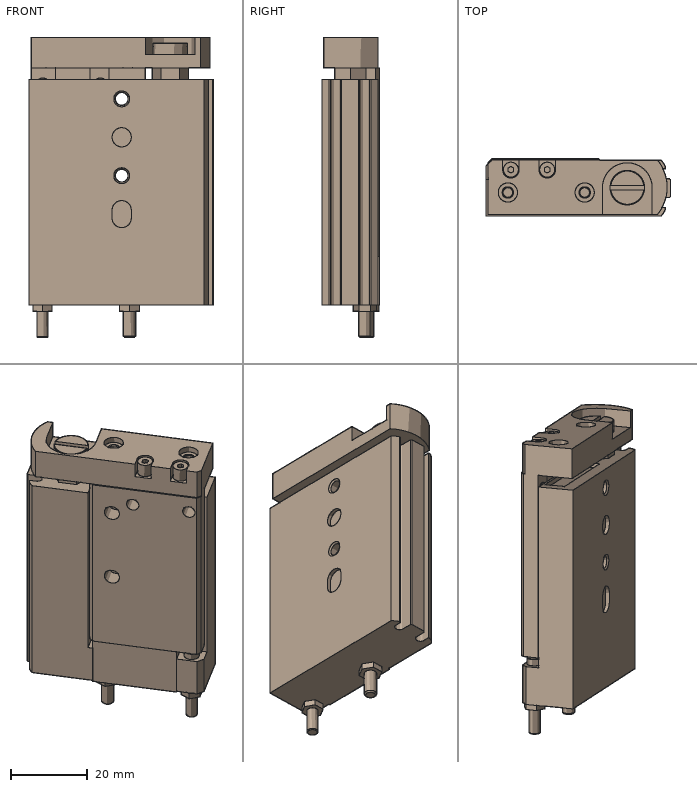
import cadquery as cq
import math

TOTAL_LENGTH = 78.0
TOTAL_DEPTH = 15.0
OVERALL_WIDTH = 48.0

HOUSING_BOTTOM = 8.4
HOUSING_TOP = 67.1
HOUSING_BACK = 14.6
TABLE_SEAT_Y = 9.6
TABLE_SEAT_RIGHT = 30.6
SIDE_EDGE_X = 46.65
LIP_START_X = 45.5
LIP_SLOPE_DEPTH = 1.8
LIP_DEPTH = 2.3
LIP_BULGE = 0.15
SENSOR_GROOVE_X = 44.9
TOP_RECESS_LEFT, TOP_RECESS_RIGHT = 3.0, 28.4
TOP_RECESS_FRONT, TOP_RECESS_BACK = 3.4, 8.9
TOP_RECESS_DEPTH = 1.2
SIDE_RAIL_WIDTH = 5.0
SIDE_RAIL_CHAMFER = 0.3

FOOT_TOP = 18.6
FOOT_STEP_X = 6.95
FOOT_CHAMFER = 1.5

HOLE_X = 24.1
HOLE_PITCH = 10.0
TOP_HOLE_Z = 62.0
THROUGH_HOLE_ZS = (TOP_HOLE_Z, TOP_HOLE_Z - 2 * HOLE_PITCH)
LOCATING_HOLE_Z = TOP_HOLE_Z - HOLE_PITCH
LOCATING_SLOT_Z = TOP_HOLE_Z - 3 * HOLE_PITCH
HOLE_DIAMETER = 3.3
HOLE_MOUTH_DIAMETER = 4.1
LOCATING_WIDTH = 5.0
LOCATING_SLOT_LENGTH = 7.0
LOCATING_DEPTH = 1.0

NUT_BOTTOM = 6.8
LEFT_PIN_X, LEFT_PIN_Y = 3.5, 12.0
LEFT_PIN_DIAMETER = 3.0
LEFT_PIN_TIP = 0.2
LEFT_NUT_FLATS = 5.0
RIGHT_PIN_X, RIGHT_PIN_Y = 26.1, 11.15
RIGHT_PIN_DIAMETER = 3.3
RIGHT_PIN_TIP = 0.4
RIGHT_NUT_FLATS = 5.3
STOPPER_DIAMETER = 4.0
STOPPER_TOP = 20.2

TABLE_LEFT = 0.55
TABLE_RIGHT = 30.3
TABLE_FRONT = 9.9
TABLE_BOTTOM = 21.05
TABLE_CHAMFER = 1.0
PAD_EDGES = (6.95, 15.8, 20.8)
PAD_HEIGHT = 0.5
TABLE_HOLE_XS = (3.6, 18.6)
TABLE_HOLE_Z = 65.45
TABLE_HOLE_MOUTH = 4.0

PLATE_BOTTOM = 70.05
PLATE_FRONT = 0.5
PLATE_RIGHT = 47.1
PLATE_ARC_START = 44.6
PLATE_HOLE_XS = (5.7, 25.7)
PLATE_HOLE_Y = 6.2
PLATE_HOLE_DIAMETER = 2.5
PLATE_HOLE_MOUTH = 3.0
COUNTERBORE_DIAMETER = 5.0
COUNTERBORE_DEPTH = 1.55

CAP_SCREW_XS = (6.5, 15.9)
CAP_SCREW_Y = 12.1
CAP_SLOT_WIDTH = 4.3
CAP_SLOT_DEPTH = 3.9
CAP_HEAD_DIAMETER = 3.9
CAP_HEAD_TOP = 77.6
CAP_SOCKET_FLATS = 1.5
CAP_SOCKET_DEPTH = 1.0

DAMPER_X, DAMPER_Y = 36.7, 7.4
POCKET_WIDTH = 12.95
POCKET_FLOOR = 73.55
DAMPER_HEAD_DIAMETER = 9.0
DAMPER_HEAD_TOP = 76.5
DAMPER_HEAD_CHAMFER = 0.15
DRIVER_SLOT_WIDTH = 1.25
DRIVER_SLOT_DEPTH = 0.9
DAMPER_NUT_FLATS = 8.2


CORNERS_ALONG_X = 0
CORNERS_ALONG_Y = 30


def block(x0, x1, y0, y1, z0, z1):
    """Box given by its limits."""
    return cq.Workplane("XY").box(x1 - x0, y1 - y0, z1 - z0, centered=False).translate((x0, y0, z0))


def cylinder(x, y, diameter, z0, z1):
    """Upright cylinder between two heights."""
    return cq.Workplane("XY", origin=(x, y, z0)).circle(diameter / 2).extrude(z1 - z0)


def hexagon(x, y, flats, z0, z1, turn=CORNERS_ALONG_X):
    """Upright hexagonal prism, given by its width across flats."""
    corners = flats / math.cos(math.pi / 6)
    prism = cq.Workplane("XY").polygon(6, corners).extrude(z1 - z0)
    return prism.rotate((0, 0, 0), (0, 0, 1), turn).translate((x, y, z0))


def countersunk_hole(x, z, diameter, mouth, y0, y1):
    """Cutter for a hole along +Y with a 45 degree mouth at y0."""
    hole_radius = diameter / 2
    mouth_radius = mouth / 2
    half_section = [
        (0, 0),
        (mouth_radius, 0),
        (hole_radius, mouth_radius - hole_radius),
        (hole_radius, y1 - y0),
        (0, y1 - y0),
    ]
    cutter = cq.Workplane("XY").polyline(half_section).close().revolve(360, (0, 0), (0, 1))
    return cutter.translate((x, y0, z))


def housing_profile():
    """Housing block with sloped side lips, two sensor grooves and the side rail."""
    middle = HOUSING_BACK / 2
    rail_start = middle - SIDE_RAIL_WIDTH / 2
    rail_end = middle + SIDE_RAIL_WIDTH / 2
    groove_radius = (rail_start - LIP_DEPTH) / 2
    groove_floor = SENSOR_GROOVE_X - groove_radius
    groove_y = LIP_DEPTH + groove_radius
    bulge_x = (LIP_START_X + SIDE_EDGE_X) / 2 + LIP_BULGE
    bulge_y = LIP_SLOPE_DEPTH / 2
    outline = (
        cq.Workplane("XY", origin=(0, 0, HOUSING_BOTTOM))
        .lineTo(LIP_START_X, 0)
        .threePointArc((bulge_x, bulge_y), (SIDE_EDGE_X, LIP_SLOPE_DEPTH))
        .lineTo(SIDE_EDGE_X, LIP_DEPTH)
        .lineTo(SENSOR_GROOVE_X, LIP_DEPTH)
        .threePointArc((groove_floor, groove_y), (SENSOR_GROOVE_X, rail_start))
        .lineTo(OVERALL_WIDTH - SIDE_RAIL_CHAMFER, rail_start)
        .lineTo(OVERALL_WIDTH, rail_start + SIDE_RAIL_CHAMFER)
        .lineTo(OVERALL_WIDTH, rail_end - SIDE_RAIL_CHAMFER)
        .lineTo(OVERALL_WIDTH - SIDE_RAIL_CHAMFER, rail_end)
        .lineTo(SENSOR_GROOVE_X, rail_end)
        .threePointArc(
            (groove_floor, HOUSING_BACK - groove_y), (SENSOR_GROOVE_X, HOUSING_BACK - LIP_DEPTH)
        )
        .lineTo(SIDE_EDGE_X, HOUSING_BACK - LIP_DEPTH)
        .lineTo(SIDE_EDGE_X, HOUSING_BACK - LIP_SLOPE_DEPTH)
        .threePointArc((bulge_x, HOUSING_BACK - bulge_y), (LIP_START_X, HOUSING_BACK))
        .lineTo(FOOT_CHAMFER, HOUSING_BACK)
        .lineTo(0, HOUSING_BACK - FOOT_CHAMFER)
        .close()
    )
    return outline.extrude(HOUSING_TOP - HOUSING_BOTTOM)


def stopper_pin(x, y, diameter, tip, flats):
    """Adjusting pin with its lock nut, below the housing."""
    pin = cylinder(x, y, diameter, 0, HOUSING_BOTTOM).faces("<Z").chamfer(tip)
    return pin.union(hexagon(x, y, flats, NUT_BOTTOM, HOUSING_BOTTOM, CORNERS_ALONG_Y))


def make_housing():
    housing = housing_profile()
    housing = housing.cut(
        block(0, TABLE_SEAT_RIGHT, TABLE_SEAT_Y, TOTAL_DEPTH, FOOT_TOP, HOUSING_TOP)
    )
    stop_right = TABLE_RIGHT - TABLE_CHAMFER
    housing = housing.union(
        block(FOOT_STEP_X, stop_right, TABLE_SEAT_Y, TOTAL_DEPTH, HOUSING_BOTTOM, TABLE_BOTTOM)
    )

    housing = housing.cut(
        block(
            TOP_RECESS_LEFT,
            TOP_RECESS_RIGHT,
            TOP_RECESS_FRONT,
            TOP_RECESS_BACK,
            HOUSING_TOP - TOP_RECESS_DEPTH,
            HOUSING_TOP,
        )
    )

    for z in THROUGH_HOLE_ZS:
        hole = countersunk_hole(HOLE_X, z, HOLE_DIAMETER, HOLE_MOUTH_DIAMETER, 0, TABLE_SEAT_Y)
        housing = housing.cut(hole)

    front = cq.Workplane("XZ")
    locating_hole = front.center(HOLE_X, LOCATING_HOLE_Z).circle(LOCATING_WIDTH / 2)
    housing = housing.cut(locating_hole.extrude(-LOCATING_DEPTH))
    locating_slot = front.center(HOLE_X, LOCATING_SLOT_Z).slot2D(
        LOCATING_SLOT_LENGTH, LOCATING_WIDTH, 90
    )
    housing = housing.cut(locating_slot.extrude(-LOCATING_DEPTH))

    housing = housing.union(
        stopper_pin(LEFT_PIN_X, LEFT_PIN_Y, LEFT_PIN_DIAMETER, LEFT_PIN_TIP, LEFT_NUT_FLATS)
    )
    housing = housing.union(
        stopper_pin(RIGHT_PIN_X, RIGHT_PIN_Y, RIGHT_PIN_DIAMETER, RIGHT_PIN_TIP, RIGHT_NUT_FLATS)
    )
    housing = housing.union(cylinder(LEFT_PIN_X, LEFT_PIN_Y, STOPPER_DIAMETER, FOOT_TOP, STOPPER_TOP))
    return housing.union(cylinder(LEFT_PIN_X, LEFT_PIN_Y, LEFT_PIN_DIAMETER, STOPPER_TOP, TABLE_BOTTOM))


def table_slab():
    """Slab with chamfered back edges, raised front pads and mounting holes."""
    slab = block(TABLE_LEFT, TABLE_RIGHT, TABLE_FRONT, TOTAL_DEPTH, TABLE_BOTTOM, PLATE_BOTTOM)
    slab = slab.edges("|Z and >Y").chamfer(TABLE_CHAMFER)
    first_pad_end, second_pad_start, second_pad_end = PAD_EDGES
    for x0, x1 in ((first_pad_end, second_pad_start), (second_pad_end, TABLE_RIGHT)):
        relief = block(x0, x1, TABLE_FRONT, TABLE_FRONT + PAD_HEIGHT, TABLE_BOTTOM, PLATE_BOTTOM)
        slab = slab.cut(relief)
    for x in TABLE_HOLE_XS:
        hole = countersunk_hole(x, TABLE_HOLE_Z, HOLE_DIAMETER, TABLE_HOLE_MOUTH, TABLE_FRONT, TOTAL_DEPTH)
        slab = slab.cut(hole)
    for z in THROUGH_HOLE_ZS:
        access = cq.Workplane("XZ").center(HOLE_X, z).circle(TABLE_HOLE_MOUTH / 2)
        slab = slab.cut(access.extrude(-TOTAL_DEPTH))
    return slab


def end_plate():
    """Plate over the housing with a rounded right end."""
    outline = (
        cq.Workplane("XY", origin=(0, 0, PLATE_BOTTOM))
        .moveTo(TABLE_LEFT, PLATE_FRONT)
        .lineTo(PLATE_ARC_START, PLATE_FRONT)
        .threePointArc(
            (PLATE_RIGHT, (PLATE_FRONT + HOUSING_BACK) / 2), (PLATE_ARC_START, HOUSING_BACK)
        )
        .lineTo(TABLE_LEFT + TABLE_CHAMFER, HOUSING_BACK)
        .lineTo(TABLE_LEFT, HOUSING_BACK - TABLE_CHAMFER)
        .close()
    )
    plate = outline.extrude(TOTAL_LENGTH - PLATE_BOTTOM)
    for x in PLATE_HOLE_XS:
        plate = plate.cut(plate_hole(x))
    for x in CAP_SCREW_XS:
        plate = plate.cut(
            open_slot(x, CAP_SCREW_Y, CAP_SLOT_WIDTH, HOUSING_BACK, TOTAL_LENGTH - CAP_SLOT_DEPTH)
        )
    return plate.cut(open_slot(DAMPER_X, DAMPER_Y, POCKET_WIDTH, PLATE_FRONT, POCKET_FLOOR))


def plate_hole(x):
    """Cutter for a counterbored through hole with a chamfered edge on the counterbore floor."""
    seat = TOTAL_LENGTH - COUNTERBORE_DEPTH
    chamfer = (PLATE_HOLE_MOUTH - PLATE_HOLE_DIAMETER) / 2
    mouth = cylinder(x, PLATE_HOLE_Y, COUNTERBORE_DIAMETER, seat, TOTAL_LENGTH)
    cone = (
        cq.Workplane("XY", origin=(x, PLATE_HOLE_Y, seat))
        .circle(PLATE_HOLE_MOUTH / 2)
        .workplane(offset=-chamfer)
        .circle(PLATE_HOLE_DIAMETER / 2)
        .loft()
    )
    hole = cylinder(x, PLATE_HOLE_Y, PLATE_HOLE_DIAMETER, PLATE_BOTTOM, seat)
    return hole.union(cone).union(mouth)


def open_slot(x, y, width, edge_y, floor):
    """Cutter for a round-ended slot in the plate top that opens at edge_y."""
    radius = width / 2
    round_end = cylinder(x, y, width, floor, TOTAL_LENGTH)
    straight = block(x - radius, x + radius, min(y, edge_y), max(y, edge_y), floor, TOTAL_LENGTH)
    return round_end.union(straight)


def cap_screw_head(x):
    """Socket head standing on the floor of its slot."""
    head = cylinder(x, CAP_SCREW_Y, CAP_HEAD_DIAMETER, TOTAL_LENGTH - CAP_SLOT_DEPTH, CAP_HEAD_TOP)
    socket_floor = CAP_HEAD_TOP - CAP_SOCKET_DEPTH
    return head.cut(hexagon(x, CAP_SCREW_Y, CAP_SOCKET_FLATS, socket_floor, CAP_HEAD_TOP, CORNERS_ALONG_Y))


def damper_screw():
    """Slotted head in the pocket and lock nut below the plate."""
    head = cylinder(DAMPER_X, DAMPER_Y, DAMPER_HEAD_DIAMETER, POCKET_FLOOR, DAMPER_HEAD_TOP)
    head = head.faces(">Z").chamfer(DAMPER_HEAD_CHAMFER)
    radius = DAMPER_HEAD_DIAMETER / 2
    half_slot = DRIVER_SLOT_WIDTH / 2
    driver_slot = block(
        DAMPER_X - radius,
        DAMPER_X + radius,
        DAMPER_Y - half_slot,
        DAMPER_Y + half_slot,
        DAMPER_HEAD_TOP - DRIVER_SLOT_DEPTH,
        DAMPER_HEAD_TOP,
    )
    nut = hexagon(DAMPER_X, DAMPER_Y, DAMPER_NUT_FLATS, HOUSING_TOP, PLATE_BOTTOM)
    return head.cut(driver_slot), nut


def make_table():
    table = table_slab().union(end_plate())
    for x in CAP_SCREW_XS:
        table = table.union(cap_screw_head(x))
    for piece in damper_screw():
        table = table.union(piece)
    return table


housing = make_housing()
table = make_table()

result = cq.Compound.makeCompound([housing.solids().val(), table.solids().val()])